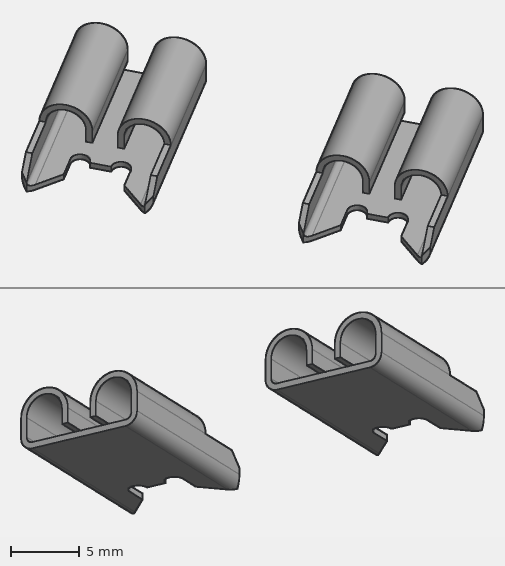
import cadquery as cq

overall_width = 31.0
clip_width = 9.98
clip_length = 14.7
clip_height = 4.55
sheet = 0.5
bend_radius = 1.0
curl_radius = 2.0
curl_length = 9.5
lip_length = 1.18
notch_radius = 0.75
tab_width = 1.6
tab_end = 10.72

half_width = clip_width / 2
tip_x = half_width - sheet
wall_height = clip_height - curl_radius
curl_center_x = half_width - curl_radius
notch_center_x = tab_width / 2 + notch_radius
opening_x = tab_width / 2 + 2 * notch_radius
prong_taper = tip_x - opening_x
wall_taper = wall_height - bend_radius
clip_pitch = overall_width - clip_width


def front_plane():
    """XZ plane at the back edge; positive extrusion runs toward -Y."""
    return cq.Workplane("XZ")


def rounded_channel(half_outer, floor_z, radius):
    """Solid U-shaped block with rounded lower corners."""
    return (
        front_plane()
        .moveTo(-half_outer, floor_z)
        .lineTo(half_outer, floor_z)
        .lineTo(half_outer, wall_height)
        .lineTo(-half_outer, wall_height)
        .close()
        .extrude(clip_length)
        .edges("|Y and <Z")
        .fillet(radius)
    )


def make_tray():
    outside = rounded_channel(half_width, 0, bend_radius)
    inside = rounded_channel(tip_x, sheet, bend_radius - sheet)
    return outside.cut(inside)


def make_curl(side):
    """Half-round roll with a straight lip; side is -1 or +1."""
    inner_radius = curl_radius - sheet
    wall_outer = side * half_width
    wall_inner = side * tip_x
    lip_outer = side * (curl_center_x - curl_radius)
    lip_inner = side * (curl_center_x - inner_radius)
    lip_bottom = wall_height - lip_length
    center_x = side * curl_center_x
    return (
        front_plane()
        .moveTo(wall_outer, wall_height)
        .threePointArc((center_x, clip_height), (lip_outer, wall_height))
        .lineTo(lip_outer, lip_bottom)
        .lineTo(lip_inner, lip_bottom)
        .lineTo(lip_inner, wall_height)
        .threePointArc((center_x, wall_height + inner_radius), (wall_inner, wall_height))
        .close()
        .extrude(curl_length)
    )


def make_plan_blank():
    """Plan outline with two pointed prongs, two notches and a centre tab."""
    shoulder_y = -(clip_length - sheet)
    taper_y = -(clip_length - prong_taper)
    notch_top_y = -(tab_end - notch_radius)
    return (
        cq.Workplane("XY")
        .moveTo(-half_width, 0)
        .lineTo(half_width, 0)
        .lineTo(half_width, shoulder_y)
        .lineTo(tip_x, -clip_length)
        .lineTo(opening_x, taper_y)
        .lineTo(opening_x, -tab_end)
        .threePointArc((notch_center_x, notch_top_y), (tab_width / 2, -tab_end))
        .lineTo(-tab_width / 2, -tab_end)
        .threePointArc((-notch_center_x, notch_top_y), (-opening_x, -tab_end))
        .lineTo(-opening_x, taper_y)
        .lineTo(-tip_x, -clip_length)
        .lineTo(-half_width, shoulder_y)
        .close()
        .extrude(wall_height)
    )


def make_side_blank():
    """Side outline that slopes the front ends of the walls at 45 degrees."""
    return (
        cq.Workplane("YZ")
        .moveTo(0, 0)
        .lineTo(0, wall_height)
        .lineTo(-(clip_length - wall_taper), wall_height)
        .lineTo(-clip_length, bend_radius)
        .lineTo(-clip_length, 0)
        .close()
        .extrude(half_width, both=True)
    )


def make_clip():
    clip = make_tray().intersect(make_plan_blank()).intersect(make_side_blank())
    for side in (-1, 1):
        clip = clip.union(make_curl(side))
    return clip


clips = []
for side in (-1, 1):
    clips.append(make_clip().translate((side * clip_pitch / 2, 0, 0)).val())

result = cq.Compound.makeCompound(clips)